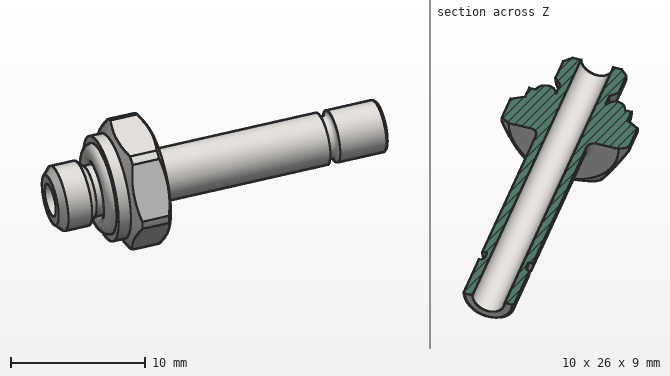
import cadquery as cq
import math

length = 26.0
thread_shoulder = 2.45
collar_front = 4.0
hex_front = 4.97
hex_back = 8.03
groove_front = 21.42
groove_back = 22.2

bore_radius = 1.25
neck_radius = 1.95
thread_radius = 2.5
collar_radius = 4.03
stem_radius = 2.0
groove_radius = 1.65

hex_flats = 9.0
hex_corners = 10.0
hex_corner_radius = hex_corners / 2
hex_back_radius = 4.32
hex_cone_slope = math.tan(math.radians(30))

thread_chamfer = 0.57
stem_chamfer = 0.15
stem_fillet = 0.57

ring_outer_radius = 3.5
ring_tube_radius = (ring_outer_radius - neck_radius) / 2
ring_front = 3.33
ring_centre_radius = neck_radius + ring_tube_radius


def close_and_revolve(profile):
    """Revolve a profile of (radius, axial position) points about the Y axis."""
    return profile.close().revolve(360, (0, 0, 0), (0, 1, 0))


def make_threaded_end():
    profile = (
        cq.Workplane("XY")
        .moveTo(0, 0)
        .lineTo(thread_radius - thread_chamfer, 0)
        .lineTo(thread_radius, thread_chamfer)
        .lineTo(thread_radius, thread_shoulder)
        .lineTo(neck_radius, thread_shoulder + thread_radius - neck_radius)
        .lineTo(neck_radius, collar_front)
        .lineTo(collar_radius, collar_front)
        .lineTo(collar_radius, hex_front)
        .lineTo(0, hex_front)
    )
    return close_and_revolve(profile)


def make_sealing_ring():
    return (
        cq.Workplane("XY")
        .center(ring_centre_radius, ring_front + ring_tube_radius)
        .circle(ring_tube_radius)
        .revolve(360, (-ring_centre_radius, 0, 0), (-ring_centre_radius, 1, 0))
    )


def make_hexagon():
    """Hexagon with flats facing up and down, trimmed by a turned blank."""
    across_corners = hex_flats / math.cos(math.radians(30))
    prism = (
        cq.Workplane("XZ", origin=(0, hex_back, 0))
        .polygon(6, across_corners)
        .extrude(hex_back - hex_front)
    )
    front_cone = (hex_corner_radius - collar_radius) * hex_cone_slope
    back_cone = (hex_corner_radius - hex_back_radius) * hex_cone_slope
    blank = (
        cq.Workplane("XY")
        .moveTo(0, hex_front)
        .lineTo(collar_radius, hex_front)
        .lineTo(hex_corner_radius, hex_front + front_cone)
        .lineTo(hex_corner_radius, hex_back - back_cone)
        .lineTo(hex_back_radius, hex_back)
        .lineTo(0, hex_back)
    )
    return prism.intersect(close_and_revolve(blank))


def make_stem():
    """Plug stem with a filleted root and a retaining groove with a concave back side."""
    fillet_end = hex_back + stem_fillet
    groove_depth = stem_radius - groove_radius
    profile = (
        cq.Workplane("XY")
        .moveTo(0, hex_back)
        .lineTo(stem_radius + stem_fillet, hex_back)
        .radiusArc((stem_radius, fillet_end), stem_fillet)
        .lineTo(stem_radius, groove_front)
        .lineTo(groove_radius, groove_front)
        .lineTo(groove_radius, groove_back - groove_depth)
        .radiusArc((stem_radius, groove_back), groove_depth)
        .lineTo(stem_radius, length - stem_chamfer)
        .lineTo(stem_radius - stem_chamfer, length)
        .lineTo(0, length)
    )
    return close_and_revolve(profile)


def make_bore():
    return cq.Workplane("XZ").circle(bore_radius).extrude(-length)


result = (
    make_threaded_end()
    .union(make_sealing_ring())
    .union(make_hexagon())
    .union(make_stem())
    .cut(make_bore())
)